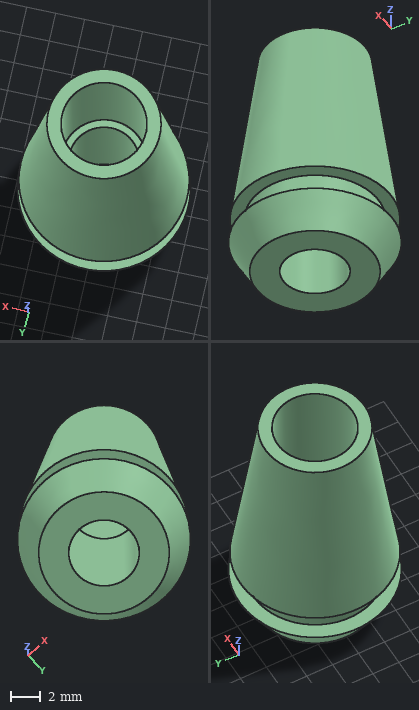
import cadquery as cq
import math

total_height = 18.0
flange_diameter = 11.7
flange_height = 2.5
flange_angle = 30.0

groove_diameter = 9.54
groove_width = 2.0

taper_base_diameter = 11.5
taper_angle = 8.0

bore_diameter = 4.75
counterbore_diameter = 5.8
counterbore_depth = total_height / 2

taper_start = flange_height + groove_width
taper_height = total_height - taper_start
flange_radius = flange_diameter / 2
foot_radius = flange_radius - flange_height * math.tan(math.radians(flange_angle))
groove_radius = groove_diameter / 2
taper_base_radius = taper_base_diameter / 2
top_radius = taper_base_radius - taper_height * math.tan(math.radians(taper_angle))

body = (
    cq.Workplane("XZ")
    .moveTo(0, 0)
    .lineTo(foot_radius, 0)
    .lineTo(flange_radius, flange_height)
    .lineTo(groove_radius, flange_height)
    .lineTo(groove_radius, taper_start)
    .lineTo(taper_base_radius, taper_start)
    .lineTo(top_radius, total_height)
    .lineTo(0, total_height)
    .close()
    .revolve(360, (0, 0, 0), (0, 1, 0))
)

result = body.faces(">Z").workplane().cboreHole(bore_diameter, counterbore_diameter, counterbore_depth)